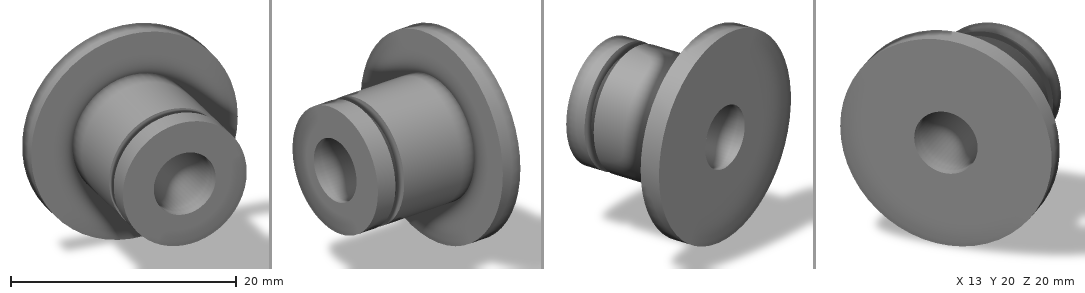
import cadquery as cq

flange_diameter = 20.0
flange_thickness = 2.0
overall_length = 13.0
body_diameter = 12.0
bore_diameter = 6.0

groove_diameter = 10.0
groove_width = 1.0
end_collar_length = 2.0
groove_start = overall_length - end_collar_length - groove_width


def cylinder_along_x(diameter, start, length):
    """Solid cylinder on the X axis, beginning at X = start."""
    return cq.Workplane("YZ", origin=(start, 0, 0)).circle(diameter / 2).extrude(length)


flange = cylinder_along_x(flange_diameter, 0, flange_thickness)
body = cylinder_along_x(body_diameter, 0, overall_length)
bore = cylinder_along_x(bore_diameter, 0, overall_length)
groove = cylinder_along_x(body_diameter, groove_start, groove_width).cut(
    cylinder_along_x(groove_diameter, groove_start, groove_width)
)

result = flange.union(body).cut(groove).cut(bore)